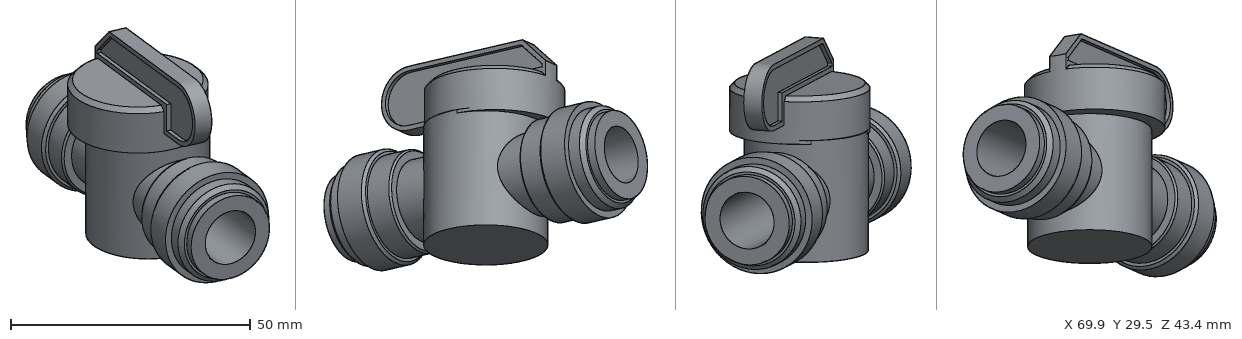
import cadquery as cq


length = 69.9
bore_diameter = 12.1
barrel_diameter = 26.0
barrel_radius = barrel_diameter / 2
neck_diameter = 17.8

nose_diameter = 18.9
nose_depth = 1.9
collar_diameter = 21.95
collar_depth = 5.65
collar_chamfer = 1.0
flange_diameter = 24.8
flange_depth = 12.45
flange_chamfer = 0.6
sleeve_diameter = 22.2
sleeve_depth = 18.4
sleeve_chamfer = 0.4

cap_diameter = 29.4
cap_radius = cap_diameter / 2
cap_x = -1.0
cap_y = -1.8
cap_bottom = 12.2
cap_height = 10.15
cap_top = cap_bottom + cap_height
cap_chamfer = 1.05

lever_thickness = 4.05
lever_top = 30.4
lever_end_radius = 7.05
lever_bottom = lever_top - 2 * lever_end_radius
lever_left = cap_x - cap_radius
lever_right = 26.8
lever_arc_x = lever_right - lever_end_radius
lever_slope_width = 6.1
lever_slope_height = 5.9
rim_width = 1.05
recess_depth = 1.0


def make_fitting():
    """Stepped push-fit end on the -X side, solid from its open face to the barrel axis."""
    nose_radius = nose_diameter / 2
    collar_radius = collar_diameter / 2
    flange_radius = flange_diameter / 2
    sleeve_radius = sleeve_diameter / 2
    neck_radius = neck_diameter / 2
    profile = [
        (0, 0),
        (0, nose_radius),
        (nose_depth, nose_radius),
        (nose_depth, collar_radius - collar_chamfer),
        (nose_depth + collar_chamfer, collar_radius),
        (collar_depth, collar_radius),
        (collar_depth, flange_radius),
        (flange_depth - flange_chamfer, flange_radius),
        (flange_depth, flange_radius - flange_chamfer),
        (flange_depth, sleeve_radius),
        (sleeve_depth - sleeve_chamfer, sleeve_radius),
        (sleeve_depth, sleeve_radius - sleeve_chamfer),
        (sleeve_depth, neck_radius),
        (length / 2, neck_radius),
        (length / 2, 0),
    ]
    return (
        cq.Workplane("XZ", origin=(-length / 2, 0, 0))
        .polyline(profile)
        .close()
        .revolve(360, (0, 0), (1, 0))
    )


def make_barrel():
    """Upright cylinder, as tall as it is wide and centred on the bore axis."""
    return cq.Workplane("XY").circle(barrel_radius).extrude(barrel_radius, both=True)


def make_body():
    """Barrel with a fitting at each end and a bore right through."""
    fitting = make_fitting()
    bore = cq.Workplane("YZ").circle(bore_diameter / 2).extrude(length, both=True)
    return make_barrel().union(fitting).union(fitting.mirror("YZ")).cut(bore)


def make_cap():
    """Chamfered round cap."""
    return (
        cq.Workplane("XY", origin=(cap_x, cap_y, cap_bottom))
        .circle(cap_radius)
        .extrude(cap_height)
        .faces(">Z")
        .chamfer(cap_chamfer)
    )


def lever_outline(plane, inset, floor, step_x):
    """Lever side outline, moved inwards by inset; its lower edge is floor, then drops at step_x."""
    left = lever_left + inset
    top = lever_top - inset
    bottom = lever_bottom + inset
    slope_length = (lever_slope_width**2 + lever_slope_height**2) ** 0.5
    slope_start_z = (
        lever_top - lever_slope_height - inset * (slope_length - lever_slope_height) / lever_slope_width
    )
    slope_end_x = (
        lever_left + lever_slope_width + inset * (slope_length - lever_slope_width) / lever_slope_height
    )
    return (
        plane.moveTo(left, floor)
        .lineTo(left, slope_start_z)
        .lineTo(slope_end_x, top)
        .lineTo(lever_arc_x, top)
        .threePointArc((lever_right - inset, (top + bottom) / 2), (lever_arc_x, bottom))
        .lineTo(step_x, bottom)
        .lineTo(step_x, floor)
        .close()
    )


def make_lever():
    """Lever plate, rounded to the cap wall at its short end and recessed on both sides."""
    half_thickness = lever_thickness / 2
    plane = cq.Workplane("XZ", origin=(0, cap_y, 0))
    plate = lever_outline(plane, 0, cap_top - cap_chamfer, cap_x).extrude(half_thickness, both=True)

    cap_column = (
        cq.Workplane("XY", origin=(cap_x, cap_y, cap_bottom))
        .circle(cap_radius)
        .extrude(lever_top - cap_bottom)
    )
    long_end = cq.Workplane("XY").box(length, length, length, centered=(False, True, True))
    plate = plate.intersect(cap_column.union(long_end.translate((cap_x, 0, 0))))

    recess_step = cap_x + cap_radius + rim_width
    for side in (-1, 1):
        floor_plane = cq.Workplane("XZ", origin=(0, cap_y + side * (half_thickness - recess_depth), 0))
        recess = lever_outline(floor_plane, rim_width, cap_top + rim_width, recess_step)
        plate = plate.cut(recess.extrude(-side * lever_thickness))
    return plate


def make_handle():
    """Cap and lever, with a shallow seat under the cap for the top of the barrel."""
    return make_cap().union(make_lever()).cut(make_barrel())


body = make_body()
handle = make_handle()

result = cq.Compound.makeCompound([body.val(), handle.val()])